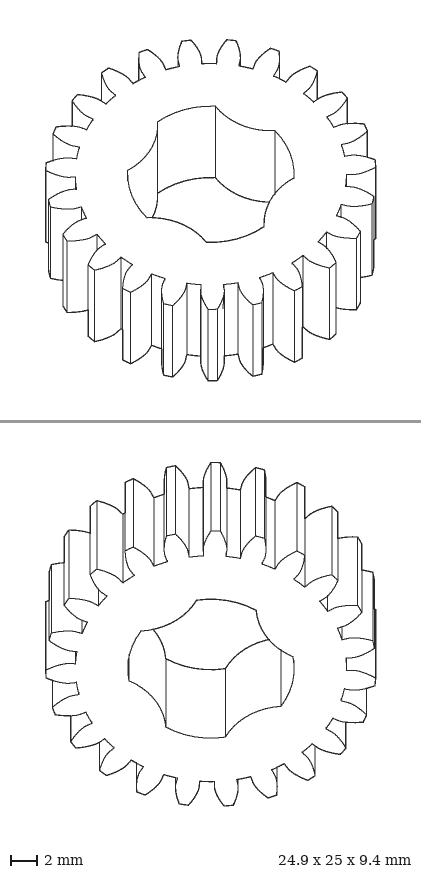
import cadquery as cq
import math

overall_height_y = 24.98
gear_width = 9.4
tooth_count = 23
pressure_angle = math.radians(20)
bore_radius = 6.3
lobe_reach = 5.1
lobe_corner_angle = math.radians(23.6)
lobe_count = 4
flank_points = 8

addendum = 1.0
dedendum = 1.25


def involute_angle(angle):
    """Polar angle swept by an involute at the given pressure angle."""
    return math.tan(angle) - angle


def polar(radius, angle):
    return (radius * math.cos(angle), radius * math.sin(angle))


tooth_pitch = 2 * math.pi / tooth_count
tip_pressure_angle = math.acos(
    tooth_count * math.cos(pressure_angle) / (tooth_count + 2 * addendum)
)
base_half_angle = tooth_pitch / 4 + involute_angle(pressure_angle)
tip_half_angle = base_half_angle - involute_angle(tip_pressure_angle)

tooth_nearest_y = round(tooth_count / 4)
top_corner_angle = tooth_nearest_y * tooth_pitch - tip_half_angle
tip_radius = overall_height_y / 2 / math.sin(top_corner_angle)
module = tip_radius / (tooth_count / 2 + addendum)
base_radius = module * tooth_count / 2 * math.cos(pressure_angle)
root_radius = module * (tooth_count / 2 - dedendum)


def flank(centre_angle, side):
    """Points up an involute flank, from the base circle to the tip."""
    points = []
    for i in range(flank_points):
        radius = base_radius + (tip_radius - base_radius) * i / (flank_points - 1)
        half_angle = base_half_angle - involute_angle(math.acos(base_radius / radius))
        points.append(polar(radius, centre_angle + side * half_angle))
    return points


def gear_blank():
    """Spur gear with radial flanks below the base circle."""
    outline = cq.Workplane("XY").moveTo(*polar(root_radius, -base_half_angle))
    for i in range(tooth_count):
        centre = i * tooth_pitch
        rising = flank(centre, -1)
        falling = flank(centre, 1)[::-1]
        outline = (
            outline.lineTo(*rising[0])
            .spline(rising[1:], includeCurrent=True)
            .threePointArc(polar(tip_radius, centre), falling[0])
            .spline(falling[1:], includeCurrent=True)
            .lineTo(*polar(root_radius, centre + base_half_angle))
            .threePointArc(
                polar(root_radius, centre + tooth_pitch / 2),
                polar(root_radius, centre + tooth_pitch - base_half_angle),
            )
        )
    return outline.close().extrude(gear_width)


def lobed_bore():
    """Round bore narrowed by lobes that bulge toward the axis."""
    lobe_pitch = 2 * math.pi / lobe_count
    outline = cq.Workplane("XY").moveTo(*polar(bore_radius, -lobe_corner_angle))
    for i in range(lobe_count):
        centre = i * lobe_pitch
        outline = outline.threePointArc(
            polar(lobe_reach, centre),
            polar(bore_radius, centre + lobe_corner_angle),
        ).threePointArc(
            polar(bore_radius, centre + lobe_pitch / 2),
            polar(bore_radius, centre + lobe_pitch - lobe_corner_angle),
        )
    return outline.close().extrude(gear_width)


result = gear_blank().cut(lobed_bore())